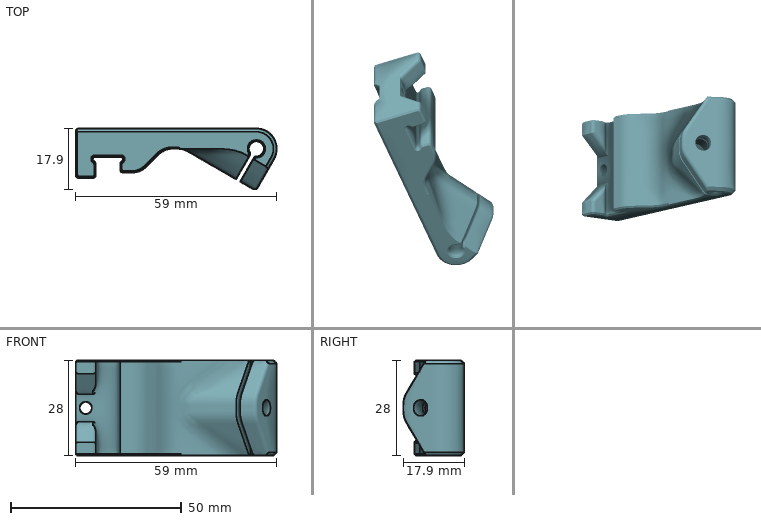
import cadquery as cq
import math

HEIGHT = 28.0
HALF_HEIGHT = HEIGHT / 2
VALLEY_Y = -6.0
EDGE_CHAMFER = 0.5
BACK_CHAMFER = 1.0
EDGE_FILLET = 1.0

HOOK_WIDTH = 5.9
HOOK_TIP_Y = -14.6
SLOT_RIGHT_X = 13.0
SLOT_CEILING_Y = -8.4
SECOND_TIP_Y = -13.0
SECOND_TIP_FLAT = 3.45
S_RADIUS = 6.0
SLOPE = math.radians(45)
UNDERCUT = 0.9
UNDERCUT_RADIUS = 0.6
NOTCH_HALF = 4.0
NOTCH_TIP_HALF = 10.05

HOOK_SCREW_X = HOOK_WIDTH / 2
HOOK_SCREW_DIAMETER = 3.5
RECESS_WIDTH = 6.0
RECESS_DEPTH = 2.0
RECESS_TAPER = 45

CLAMP_ANGLE = math.radians(30)
NOSE_RADIUS = 6.0
PIN_X = 53.0
PIN_Y = -NOSE_RADIUS
PIN_DIAMETER = 4.4
PIN_CHAMFER = 0.4
SLIT_WIDTH = 1.4
SLIT_FILLET = 0.7
CREST_V = -10.7
CREST_HALF_FLAT = 1.0
CREST_RADIUS = 6.0
FLANK_ANGLE = math.radians(34.4)
BUMP_FILLET = 6.0
CLAMP_SCREW_DIAMETER = 4.7
CLAMP_SCREW_V = -4.43
CLAMP_SCREW_DEPTH = 15.0
PLATE_LAP = 0.8

MARGIN = 1.0
TOLERANCE = 0.01


def clamp_point(u, v):
    """XY position of a point given along the clamp axes."""
    cos_a = math.cos(CLAMP_ANGLE)
    sin_a = math.sin(CLAMP_ANGLE)
    return (PIN_X + u * cos_a + v * sin_a, PIN_Y - u * sin_a + v * cos_a)


APEX = clamp_point(CREST_V / math.tan(CLAMP_ANGLE), CREST_V)

NOSE_END = clamp_point(NOSE_RADIUS, 0)
NOSE_MID_ANGLE = (math.pi / 2 + CLAMP_ANGLE) / 2
NOSE_MID = clamp_point(NOSE_RADIUS * math.cos(NOSE_MID_ANGLE), NOSE_RADIUS * math.sin(NOSE_MID_ANGLE))

U_DIRECTION = (math.cos(CLAMP_ANGLE), -math.sin(CLAMP_ANGLE), 0)
JAW_PLANE = cq.Plane(origin=(*NOSE_END, 0), xDir=(0, 0, -1), normal=U_DIRECTION)


def upright(outline):
    """Close an XY outline and extrude it over the full height."""
    return outline.close().extrude(HALF_HEIGHT, both=True)


def edges_between(solid, low, high):
    """Edges whose centres lie in the box between two corners."""
    return solid.edges(cq.selectors.BoxSelector(low, high))


def upright_edge(solid, x, y):
    """The edge parallel to Z at a given XY position."""
    return edges_between(
        solid,
        (x - TOLERANCE, y - TOLERANCE, -TOLERANCE),
        (x + TOLERANCE, y + TOLERANCE, TOLERANCE),
    )


def rail_outline():
    """Left end of the plate with the two hooks and the S-curve up to the valley."""
    drop = S_RADIUS * (1 - math.cos(SLOPE))
    reach = S_RADIUS * math.sin(SLOPE)
    mid_drop = S_RADIUS * (1 - math.cos(SLOPE / 2))
    mid_reach = S_RADIUS * math.sin(SLOPE / 2)
    straight_rise = VALLEY_Y - SECOND_TIP_Y - 2 * drop
    curve_start = SLOT_RIGHT_X + SECOND_TIP_FLAT
    curve_end = curve_start + 2 * reach + straight_rise / math.tan(SLOPE)
    return (
        cq.Workplane("XY")
        .moveTo(0, 0)
        .lineTo(0, HOOK_TIP_Y)
        .lineTo(HOOK_WIDTH, HOOK_TIP_Y)
        .lineTo(HOOK_WIDTH, SLOT_CEILING_Y)
        .lineTo(SLOT_RIGHT_X, SLOT_CEILING_Y)
        .lineTo(SLOT_RIGHT_X, SECOND_TIP_Y)
        .lineTo(curve_start, SECOND_TIP_Y)
        .threePointArc((curve_start + mid_reach, SECOND_TIP_Y + mid_drop),
                       (curve_start + reach, SECOND_TIP_Y + drop))
        .lineTo(curve_end - reach, VALLEY_Y - drop)
        .threePointArc((curve_end - mid_reach, VALLEY_Y - mid_drop), (curve_end, VALLEY_Y))
        .lineTo(*APEX)
        .lineTo(APEX[0], 0)
    )


def hook_notch():
    """Trapezoidal gap that splits the left hook in two."""
    return (
        cq.Workplane("YZ")
        .moveTo(SLOT_CEILING_Y, -NOTCH_HALF)
        .lineTo(SLOT_CEILING_Y, NOTCH_HALF)
        .lineTo(HOOK_TIP_Y, NOTCH_TIP_HALF)
        .lineTo(HOOK_TIP_Y, -NOTCH_TIP_HALF)
        .close()
        .extrude(HOOK_WIDTH)
    )


def round_hooks(block):
    """Round both rims of the left hook and the tip corner of the second hook."""
    for x in (0, HOOK_WIDTH):
        rim = edges_between(
            block,
            (x - TOLERANCE, HOOK_TIP_Y - TOLERANCE, -HALF_HEIGHT + TOLERANCE),
            (x + TOLERANCE, SLOT_CEILING_Y - TOLERANCE, HALF_HEIGHT - TOLERANCE),
        )
        block = rim.fillet(EDGE_FILLET)
    return upright_edge(block, SLOT_RIGHT_X, SECOND_TIP_Y).fillet(EDGE_FILLET)


def undercut(wall_x, side):
    """Round-ended undercut with a rounded lip; side is 1 toward +X and -1 toward -X."""
    middle_x = (HOOK_WIDTH + SLOT_RIGHT_X) / 2
    round_x = wall_x + side * (UNDERCUT - UNDERCUT_RADIUS)
    round_y = SLOT_CEILING_Y - UNDERCUT_RADIUS
    diagonal = UNDERCUT_RADIUS * math.sin(SLOPE)
    flank_foot_y = SLOT_CEILING_Y - UNDERCUT - UNDERCUT_RADIUS * math.sqrt(2)
    lip_x = wall_x + side * EDGE_FILLET
    lip_y = flank_foot_y - EDGE_FILLET * math.tan(SLOPE / 2)

    def lip_point(angle):
        return (lip_x - side * EDGE_FILLET * math.cos(angle), lip_y + EDGE_FILLET * math.sin(angle))

    return upright(
        cq.Workplane("XY")
        .moveTo(middle_x, SLOT_CEILING_Y)
        .lineTo(round_x, SLOT_CEILING_Y)
        .threePointArc((round_x + side * UNDERCUT_RADIUS, round_y),
                       (round_x + side * diagonal, round_y - diagonal))
        .lineTo(*lip_point(SLOPE))
        .threePointArc(lip_point(SLOPE / 2), lip_point(0))
        .lineTo(middle_x, lip_y)
    )


def rail_block():
    block = upright(rail_outline()).cut(hook_notch())
    block = round_hooks(block)
    block = block.cut(undercut(SLOT_RIGHT_X, 1).union(undercut(HOOK_WIDTH, -1)))
    outline_edges = edges_between(
        block.faces("<Z or >Z"),
        (-MARGIN, HOOK_TIP_Y - MARGIN, -HEIGHT),
        (APEX[0] - TOLERANCE, -TOLERANCE, HEIGHT),
    )
    return outline_edges.chamfer(EDGE_CHAMFER)


def clamp_plate():
    """Plate and nose around the pin; the left end leans parallel to the bump crest."""
    foot_x = APEX[0] - PLATE_LAP
    lean_x = foot_x - PLATE_LAP / math.tan(CLAMP_ANGLE)
    return upright(
        cq.Workplane("XY")
        .moveTo(lean_x, VALLEY_Y + PLATE_LAP)
        .lineTo(foot_x, VALLEY_Y)
        .lineTo(PIN_X, PIN_Y)
        .lineTo(*NOSE_END)
        .threePointArc(NOSE_MID, (PIN_X, 0))
        .lineTo(lean_x, 0)
    )


def bump():
    """Ridge below the plate: a wedge in XY with a rounded roof section along U."""
    wedge = upright(
        cq.Workplane("XY")
        .moveTo(PIN_X, PIN_Y)
        .lineTo(*APEX)
        .lineTo(*clamp_point(NOSE_RADIUS, CREST_V))
        .lineTo(*NOSE_END)
    )

    def crest_point(angle):
        return (CREST_HALF_FLAT + CREST_RADIUS * math.sin(angle),
                CREST_V + CREST_RADIUS * (1 - math.cos(angle)))

    mid_z, mid_v = crest_point(FLANK_ANGLE / 2)
    flank_z, flank_v = crest_point(FLANK_ANGLE)
    side_v = flank_v + (HALF_HEIGHT - flank_z) * math.tan(FLANK_ANGLE)
    length = math.dist(APEX, NOSE_END) + MARGIN
    top_v = length
    roof = (
        cq.Workplane(JAW_PLANE)
        .moveTo(-HALF_HEIGHT, side_v)
        .lineTo(-flank_z, flank_v)
        .threePointArc((-mid_z, mid_v), (-CREST_HALF_FLAT, CREST_V))
        .lineTo(CREST_HALF_FLAT, CREST_V)
        .threePointArc((mid_z, mid_v), (flank_z, flank_v))
        .lineTo(HALF_HEIGHT, side_v)
        .lineTo(HALF_HEIGHT, top_v)
        .lineTo(-HALF_HEIGHT, top_v)
        .close()
        .extrude(-length)
    )
    return wedge.intersect(roof)


def blend_bump(part):
    """Fillet the foot of the bump on the valley face, then the rim of the jaw face."""
    inner_z = HALF_HEIGHT - TOLERANCE
    foot = edges_between(
        part,
        (APEX[0] - TOLERANCE, VALLEY_Y - TOLERANCE, -inner_z),
        (PIN_X - TOLERANCE, VALLEY_Y + TOLERANCE, inner_z),
    )
    part = foot.fillet(BUMP_FILLET)
    jaw_face = part.faces(cq.selectors.DirectionMinMaxSelector(cq.Vector(*U_DIRECTION), True))
    rim = edges_between(
        jaw_face,
        (APEX[0], 2 * CREST_V, -inner_z),
        (NOSE_END[0], NOSE_END[1] - TOLERANCE, inner_z),
    )
    return rim.fillet(EDGE_FILLET)


def back_envelope():
    """Oversized block whose back, nose and jaw edges carry the back chamfer."""
    low_corner = clamp_point(NOSE_RADIUS, 4 * CREST_V)
    block = upright(
        cq.Workplane("XY")
        .moveTo(-MARGIN, 0)
        .lineTo(PIN_X, 0)
        .threePointArc(NOSE_MID, NOSE_END)
        .lineTo(*low_corner)
        .lineTo(-MARGIN, low_corner[1])
    )
    back_edges = edges_between(
        block.faces("<Z or >Z"), (0, -TOLERANCE, -HEIGHT), (PIN_X, TOLERANCE, HEIGHT)
    )
    return back_edges.chamfer(BACK_CHAMFER)


def cut_pin_hole(part):
    """Pin hole opening into the clamp slit, with rounded corners and chamfered ends."""
    pin_radius = PIN_DIAMETER / 2
    half_slit = SLIT_WIDTH / 2
    slit_end_v = CREST_V - MARGIN
    slit = upright(
        cq.Workplane("XY")
        .moveTo(*clamp_point(-half_slit, 0))
        .lineTo(*clamp_point(half_slit, 0))
        .lineTo(*clamp_point(half_slit, slit_end_v))
        .lineTo(*clamp_point(-half_slit, slit_end_v))
    )
    pin = cq.Workplane("XY").center(PIN_X, PIN_Y).circle(pin_radius).extrude(HALF_HEIGHT, both=True)
    keyhole = pin.union(slit)
    corner_v = -math.sqrt(pin_radius**2 - half_slit**2)
    for u in (-half_slit, half_slit):
        keyhole = upright_edge(keyhole, *clamp_point(u, corner_v)).fillet(SLIT_FILLET)
    part = part.cut(keyhole)

    reach = pin_radius + SLIT_FILLET
    mouth = edges_between(
        part.faces("<Z or >Z"),
        (PIN_X - reach, PIN_Y - reach, -HEIGHT),
        (PIN_X + reach, PIN_Y + reach, HEIGHT),
    )
    return mouth.edges("%CIRCLE").chamfer(PIN_CHAMFER)


def clamp_screw_hole():
    return (
        cq.Workplane(JAW_PLANE)
        .center(0, CLAMP_SCREW_V)
        .circle(CLAMP_SCREW_DIAMETER / 2)
        .extrude(-CLAMP_SCREW_DEPTH)
    )


def hook_screw_hole():
    """Through hole in the left hook and the recess around it."""
    floor = cq.Plane(origin=(HOOK_SCREW_X, -RECESS_DEPTH, 0), xDir=(1, 0, 0), normal=(0, 1, 0))
    length = 4 * RECESS_WIDTH
    recess = (
        cq.Workplane(floor)
        .center((RECESS_WIDTH - length) / 2, 0)
        .slot2D(length, RECESS_WIDTH)
        .extrude(RECESS_DEPTH, taper=-RECESS_TAPER)
    )
    hole = cq.Workplane(floor).circle(HOOK_SCREW_DIAMETER / 2).extrude(HOOK_TIP_Y)
    return recess.union(hole)


part = rail_block().union(clamp_plate()).union(bump())
part = blend_bump(part)
part = upright_edge(part, 0, 0).fillet(EDGE_FILLET)
part = part.intersect(back_envelope())
part = cut_pin_hole(part)
part = part.cut(clamp_screw_hole())
result = part.cut(hook_screw_hole())